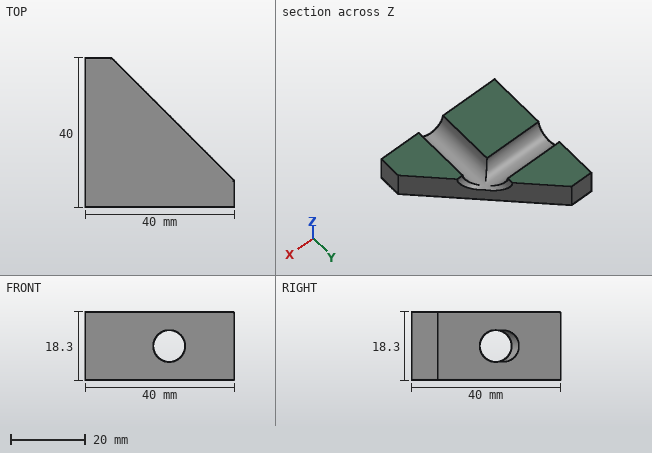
import cadquery as cq

side = 40.0
height = 18.3
nose = 7.05
edge_radius = 0.5

hole_diameter = 8.5
hole_offset = 22.5
mid_height = height / 2

body = (
    cq.Workplane("XY")
    .polyline([(0, 0), (side, 0), (side, nose), (nose, side), (0, side)])
    .close()
    .extrude(height)
)

outer_faces = body.faces(">X or >Y or >(1, 1, 0)")
body = outer_faces.edges("#Z").fillet(edge_radius)


def leg_hole(plane, direction):
    """Cylinder through one leg, entering at the leg's outer face."""
    return (
        cq.Workplane(plane)
        .center(hole_offset, mid_height)
        .circle(hole_diameter / 2)
        .extrude(direction * side)
    )


result = body.cut(leg_hole("XZ", -1)).cut(leg_hole("YZ", 1))